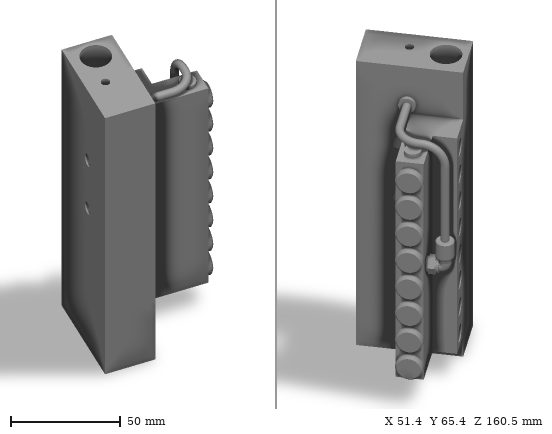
import cadquery as cq
import math

block_width = 49.9
block_depth = 25.0
block_height = 160.5

body_bottom = 12.2
body_top = 134.0
body_width = 24.4
step_back = 40.0
tower_back = 62.5
tower_width = 13.0
tower_left = body_width - tower_width
tower_mid = body_width - tower_width / 2

station_count = 8
first_station = 19.5
last_station = 124.4
station_pitch = (last_station - first_station) / (station_count - 1)
cap_diameter = tower_width
cap_height = 2.9
cap_chamfer = 1.0
port_diameter = 8.7
port_mid = 33.5
port_depth = 12.8

mount_hole_diameter = 6.5
mount_hole_x = 29.9
mount_hole_heights = (86.8, 116.8)
supply_hole_diameter = 15.0
supply_hole_x = 10.3
supply_hole_depth = 32.1
pin_hole_diameter = 4.3
pin_hole_x = 27.8
pin_hole_y = 9.8
pin_hole_depth = 16.0

tube_diameter = 4.0
tube_start_x = 25.8
tube_drop_x = 2.9
tube_y = 54.9
tube_z = 139.8
bend_radius = 11.0

boss_diameter = 8.0
boss_height = 2.1

nut_diameter = 8.7
nut_top = 87.0
nut_bottom = 77.4
nut_top_chamfer = 0.5
nut_fillet = 1.3
neck_diameter = 6.9
neck_bottom = 75.5
neck_overlap = 0.2
elbow_diameter = 6.0
elbow_z = 72.5
elbow_bend_radius = 1.6
collar_diameter = 7.5
collar_start = 5.5
hex_flats = 8.0
hex_start = 6.9
hex_width = 3.4
hex_turn = -22.5

station_heights = [first_station + i * station_pitch for i in range(station_count)]


def cylinder(diameter, length, start, direction):
    """Solid cylinder running from a start point along a direction."""
    solid = cq.Solid.makeCylinder(diameter / 2, length, cq.Vector(*start), cq.Vector(*direction))
    return cq.Workplane(obj=solid)


def make_block():
    block = cq.Workplane().box(block_width, block_depth, block_height, centered=False)
    for height in mount_hole_heights:
        start = (mount_hole_x, 0, height)
        block = block.cut(cylinder(mount_hole_diameter, block_depth, start, (0, 1, 0)))
    supply_start = (supply_hole_x, block_depth / 2, block_height)
    block = block.cut(cylinder(supply_hole_diameter, supply_hole_depth, supply_start, (0, 0, -1)))
    pin_start = (pin_hole_x, pin_hole_y, block_height)
    return block.cut(cylinder(pin_hole_diameter, pin_hole_depth, pin_start, (0, 0, -1)))


def make_body():
    outline = [
        (0, block_depth),
        (body_width, block_depth),
        (body_width, tower_back),
        (tower_left, tower_back),
        (tower_left, step_back),
        (0, step_back),
    ]
    body = cq.Workplane().workplane(offset=body_bottom).polyline(outline).close()
    body = body.extrude(body_top - body_bottom)
    for height in station_heights:
        cap = cylinder(cap_diameter, cap_height, (tower_mid, tower_back, height), (0, 1, 0))
        body = body.union(cap.faces(">Y").chamfer(cap_chamfer))
        body = body.cut(cylinder(port_diameter, port_depth, (0, port_mid, height), (1, 0, 0)))
    return body.union(cylinder(boss_diameter, boss_height, (tower_mid, tube_y, body_top), (0, 0, 1)))


def make_tube():
    run_back = (
        cq.Workplane("XY", origin=(0, 0, tube_z))
        .moveTo(tube_start_x, block_depth)
        .lineTo(tube_start_x, tube_y - bend_radius)
        .radiusArc((tube_start_x - bend_radius, tube_y), -bend_radius)
        .lineTo(tube_drop_x + bend_radius, tube_y)
    )
    run_down = (
        cq.Workplane("XZ", origin=(0, tube_y, 0))
        .moveTo(tube_drop_x + bend_radius, tube_z)
        .radiusArc((tube_drop_x, tube_z - bend_radius), -bend_radius)
        .lineTo(tube_drop_x, nut_top)
    )
    back_start = (tube_start_x, block_depth, tube_z)
    down_start = (tube_drop_x + bend_radius, tube_y, tube_z)
    back = cq.Workplane("XZ", origin=back_start).circle(tube_diameter / 2).sweep(run_back)
    down = cq.Workplane("YZ", origin=down_start).circle(tube_diameter / 2).sweep(run_down)
    boss = cylinder(boss_diameter, boss_height, back_start, (0, 1, 0))
    return back.union(down).union(boss)


def make_fitting():
    nut = cylinder(nut_diameter, nut_top - nut_bottom, (tube_drop_x, tube_y, nut_bottom), (0, 0, 1))
    nut = nut.faces(">Z").chamfer(nut_top_chamfer).faces("<Z").edges().fillet(nut_fillet)
    neck_top = nut_bottom + neck_overlap
    neck = cq.Workplane("XY", origin=(tube_drop_x, tube_y, neck_top)).circle(neck_diameter / 2)
    neck = neck.workplane(offset=neck_bottom - neck_top).circle(elbow_diameter / 2).loft(ruled=True)

    elbow_radius = elbow_diameter / 2
    bend_top = elbow_z + elbow_bend_radius
    upright_start = (tube_drop_x, tube_y, bend_top)
    upright = cylinder(elbow_diameter, neck_bottom - bend_top, upright_start, (0, 0, 1))
    stem_start = tube_drop_x + elbow_bend_radius
    stem = cylinder(elbow_diameter, tower_left - stem_start, (stem_start, tube_y, elbow_z), (1, 0, 0))
    half_chord = math.sqrt(elbow_radius**2 - elbow_bend_radius**2)
    bend = (
        cq.Workplane("XY", origin=(stem_start, tube_y, bend_top))
        .moveTo(0, -half_chord)
        .threePointArc((-elbow_bend_radius - elbow_radius, 0), (0, half_chord))
        .close()
        .revolve(90, (0, 0), (0, -1))
    )

    collar_origin = (collar_start, tube_y, elbow_z)
    collar = cylinder(collar_diameter, tower_left - collar_start, collar_origin, (1, 0, 0))
    hexagon = (
        cq.Workplane("YZ", origin=(hex_start, tube_y, elbow_z))
        .transformed(rotate=(0, 0, hex_turn))
        .polygon(6, hex_flats, circumscribed=True)
        .extrude(hex_width)
    )
    fitting = nut
    for piece in (neck, upright, bend, stem, collar, hexagon):
        fitting = fitting.union(piece)
    return fitting


result = make_block().union(make_body()).union(make_tube()).union(make_fitting())